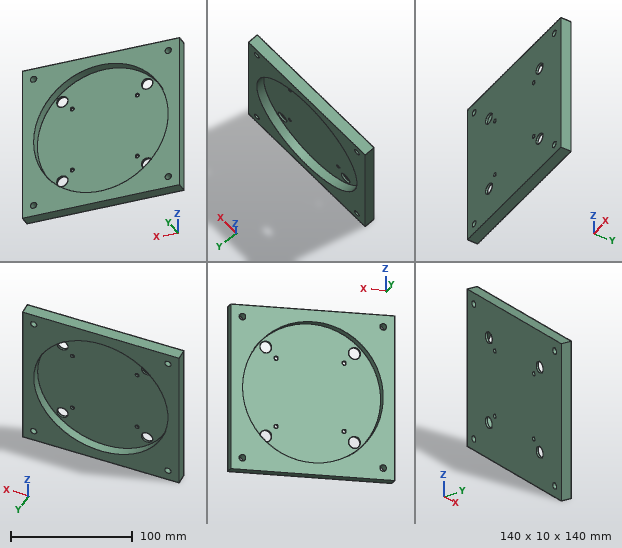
import cadquery as cq

plate_side = 140.0
plate_thickness = 10.0

corner_hole_spacing = 120.0
corner_hole_diameter = 5.5
large_hole_spacing = 75.6
large_hole_diameter = 10.0
small_hole_spacing = 58.0
small_hole_diameter = 3.4

recess_diameter = 120.0
web_thickness = 2.0
recess_depth = plate_thickness - web_thickness


def drill_square_pattern(body, spacing, diameter):
    """Drill four through holes along Y at the corners of a centred square."""
    return (
        body.faces("<Y")
        .workplane(centerOption="CenterOfBoundBox")
        .rect(spacing, spacing, forConstruction=True)
        .vertices()
        .hole(diameter)
    )


plate = cq.Workplane("XY").box(plate_side, plate_thickness, plate_side)
plate = (
    plate.faces(">Y")
    .workplane(centerOption="CenterOfBoundBox")
    .hole(recess_diameter, recess_depth)
)
plate = drill_square_pattern(plate, corner_hole_spacing, corner_hole_diameter)
plate = drill_square_pattern(plate, large_hole_spacing, large_hole_diameter)
plate = drill_square_pattern(plate, small_hole_spacing, small_hole_diameter)

result = plate